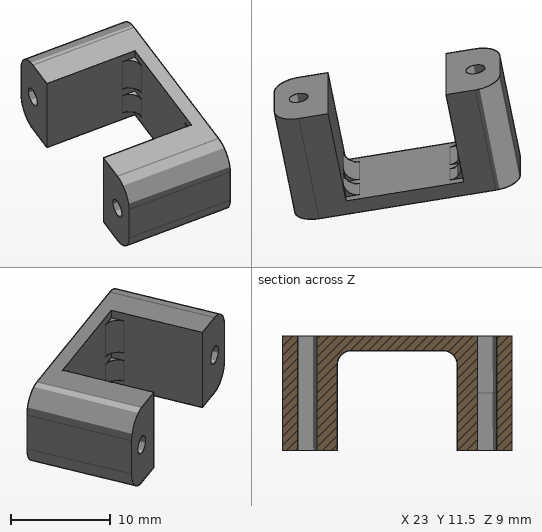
import cadquery as cq

LENGTH = 23.0
DEPTH = 11.5
HEIGHT = 9.0
CORNER_RADIUS = 2.5

GAP_WIDTH = 12.0
BACK_WALL = 1.5

HOLE_DIAMETER = 1.9
HOLE_INSET = CORNER_RADIUS

WEB_RADIUS = 1.4
WEB_EDGE_MARGIN = 0.9
WEB_SPACING = 0.9
LOWER_WEB_HEIGHT = 2.45
UPPER_WEB_HEIGHT = HEIGHT - 2 * WEB_EDGE_MARGIN - WEB_SPACING - LOWER_WEB_HEIGHT

FRONT_Y = -DEPTH / 2
GAP_END_Y = DEPTH / 2 - BACK_WALL
LOWER_WEB_Z = -HEIGHT / 2 + WEB_EDGE_MARGIN
UPPER_WEB_Z = LOWER_WEB_Z + LOWER_WEB_HEIGHT + WEB_SPACING


def rounded_block():
    """Full block with its four long edges along Y rounded."""
    return cq.Workplane("XY").box(LENGTH, DEPTH, HEIGHT).edges("|Y").fillet(CORNER_RADIUS)


def arm_gap():
    """Space between the arms, open at the front, top and bottom."""
    gap_depth = DEPTH - BACK_WALL
    gap_centre_y = FRONT_Y + gap_depth / 2
    return cq.Workplane("XY").center(0, gap_centre_y).rect(GAP_WIDTH, gap_depth).extrude(HEIGHT / 2, both=True)


def screw_holes():
    """Holes along Y through the full depth of each arm."""
    hole_x = LENGTH / 2 - HOLE_INSET
    return (
        cq.Workplane("XZ")
        .pushPoints([(-hole_x, 0), (hole_x, 0)])
        .circle(HOLE_DIAMETER / 2)
        .extrude(DEPTH / 2, both=True)
    )


def corner_web(side, bottom_z, height):
    """Concave web in one inner corner; side is -1 for the -X corner, +1 for the +X corner."""
    corner_x = side * GAP_WIDTH / 2
    square = (
        cq.Workplane("XY", origin=(corner_x - side * WEB_RADIUS / 2, GAP_END_Y - WEB_RADIUS / 2, bottom_z))
        .rect(WEB_RADIUS, WEB_RADIUS)
        .extrude(height)
    )
    hollow = (
        cq.Workplane("XY", origin=(corner_x - side * WEB_RADIUS, GAP_END_Y - WEB_RADIUS, bottom_z))
        .circle(WEB_RADIUS)
        .extrude(height)
    )
    return square.cut(hollow)


result = rounded_block().cut(arm_gap()).cut(screw_holes())
for side in (-1, 1):
    result = result.union(corner_web(side, LOWER_WEB_Z, LOWER_WEB_HEIGHT))
    result = result.union(corner_web(side, UPPER_WEB_Z, UPPER_WEB_HEIGHT))